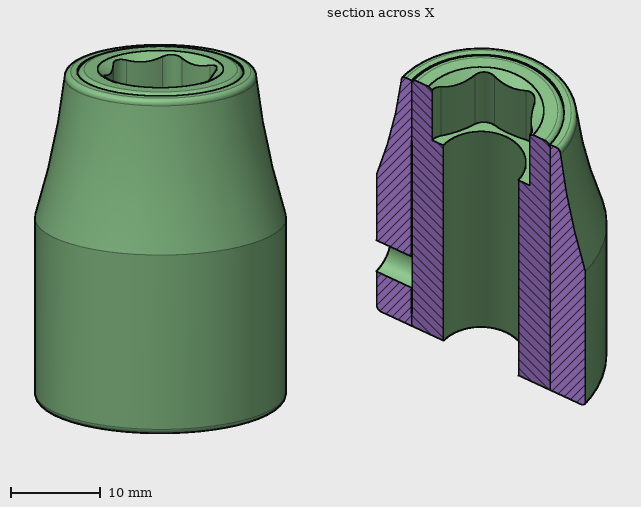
import cadquery as cq
import math

height = 38.3
body_diameter = 28.0
body_radius = body_diameter / 2
edge_fillet = 0.7

sleeve_top = 38.05
shoulder_height = 21.0
nose_radius = 10.7
nose_end = sleeve_top - edge_fillet
nose_rim_radius = 10.05
taper_bow = 0.4
joint_radius = 9.25

cross_hole_diameter = 4.75
cross_hole_height = 8.35

insert_fillet = 0.73
bore_radius = 5.0
mouth_radius = 7.0
mouth_slope = 30.0
socket_depth = 8.05

lobe_count = 6
lobe_tip_radius = 6.5
valley_radius = 5.63
lobe_arc_radius = 1.7


def make_sleeve():
    """Revolve the shell, with a bowed nose and rounded outer edges."""
    corner = edge_fillet * math.sqrt(0.5)
    bow_point = (
        (body_radius + nose_radius) / 2 - taper_bow,
        (shoulder_height + nose_end) / 2,
    )
    rim_middle = (
        nose_rim_radius + (nose_radius - nose_rim_radius) * math.sqrt(0.5),
        nose_end + corner,
    )
    profile = (
        cq.Workplane("XZ")
        .moveTo(joint_radius, 0)
        .lineTo(body_radius - edge_fillet, 0)
        .threePointArc(
            (body_radius - edge_fillet + corner, edge_fillet - corner),
            (body_radius, edge_fillet),
        )
        .lineTo(body_radius, shoulder_height)
        .threePointArc(bow_point, (nose_radius, nose_end))
        .threePointArc(rim_middle, (nose_rim_radius, sleeve_top))
        .lineTo(joint_radius, sleeve_top)
        .close()
    )
    return profile.revolve(360, (0, 0, 0), (0, 1, 0)).cut(make_cross_hole())


def make_cross_hole():
    """Radial drill that passes through the +Y wall of the sleeve only."""
    return (
        cq.Workplane("XZ")
        .center(0, cross_hole_height)
        .circle(cross_hole_diameter / 2)
        .extrude(-2 * body_radius)
    )


def polar(radius, angle):
    return (radius * math.cos(angle), radius * math.sin(angle))


def make_socket():
    """Six-lobed prism: round lobe arcs joined by tangent valley arcs."""
    half_pitch = math.pi / lobe_count
    lobe_centre = lobe_tip_radius - lobe_arc_radius

    across = lobe_centre * math.sin(half_pitch)
    along = valley_radius - lobe_centre * math.cos(half_pitch)
    valley_arc_radius = (across**2 + along**2 - lobe_arc_radius**2) / (2 * (lobe_arc_radius - along))
    valley_centre = valley_radius + valley_arc_radius

    lobe_share = lobe_arc_radius / (lobe_arc_radius + valley_arc_radius)
    meet_x = lobe_centre + lobe_share * (valley_centre * math.cos(half_pitch) - lobe_centre)
    meet_y = lobe_share * valley_centre * math.sin(half_pitch)
    meet_radius = math.hypot(meet_x, meet_y)
    meet_angle = math.atan2(meet_y, meet_x)

    first_lobe = math.pi / 2
    outline = cq.Workplane("XY", origin=(0, 0, height - socket_depth))
    outline = outline.moveTo(*polar(meet_radius, first_lobe - meet_angle))
    for index in range(lobe_count):
        lobe = first_lobe + 2 * half_pitch * index
        next_lobe = lobe + 2 * half_pitch
        outline = outline.threePointArc(polar(lobe_tip_radius, lobe), polar(meet_radius, lobe + meet_angle))
        outline = outline.threePointArc(
            polar(valley_radius, lobe + half_pitch),
            polar(meet_radius, next_lobe - meet_angle),
        )
    return outline.close().extrude(socket_depth)


def make_mouth():
    """Cone that leads into the socket."""
    cone_depth = mouth_radius * math.tan(math.radians(mouth_slope))
    return (
        cq.Workplane("XZ")
        .polyline([(0, height), (mouth_radius, height), (0, height - cone_depth)])
        .close()
        .revolve(360, (0, 0, 0), (0, 1, 0))
    )


def make_insert():
    """Core cylinder with a rounded top edge, socket, lead-in and through bore."""
    core = cq.Workplane("XY").circle(joint_radius).extrude(height)
    core = core.faces(">Z").edges().fillet(insert_fillet)
    bore = cq.Workplane("XY").circle(bore_radius).extrude(height)
    return core.cut(bore).cut(make_socket()).cut(make_mouth())


sleeve = make_sleeve()
insert = make_insert()

result = cq.Compound.makeCompound([sleeve.val(), insert.val()])